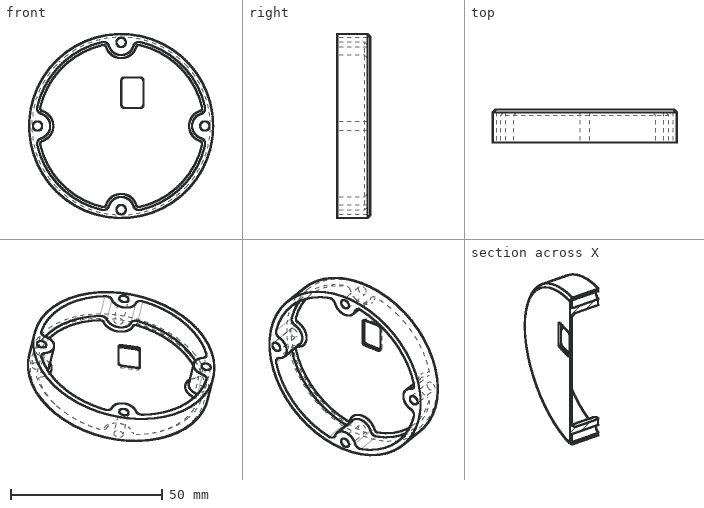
import cadquery as cq

outer_radius = 30.405
height = 11.0
back_chamfer = 1.0

wall = 2.0
floor_thickness = 1.0
cavity_radius = outer_radius - wall
cavity_depth = height - floor_thickness
floor_chamfer = 1.0

boss_count = 4
boss_radius = 4.2
boss_circle_radius = 27.6
boss_blend_radius = 2.0
screw_hole_diameter = 3.1
screw_hole_depth = cavity_depth

window_width = 7.2
window_height = 10.0
window_left = 0.1
window_bottom = 6.0
window_corner_radius = 1.0


def front_plane():
    """Workplane on the open face whose normal points into the part (+Y)."""
    return cq.Workplane(cq.Plane(origin=(0, 0, 0), xDir=(1, 0, 0), normal=(0, 1, 0)))


def boss_pattern():
    """Front plane with one point at each boss axis."""
    return front_plane().polarArray(boss_circle_radius, 0, 360, boss_count)


def make_body():
    body = front_plane().circle(outer_radius).extrude(height)
    return body.faces(">Y").chamfer(back_chamfer)


def make_cavity():
    """Space inside the wall, notched by the bosses and narrowing at the floor."""
    bosses = boss_pattern().circle(boss_radius).extrude(cavity_depth)
    cavity = front_plane().circle(cavity_radius).extrude(cavity_depth).cut(bosses)
    cavity = cavity.edges("|Y").fillet(boss_blend_radius)
    return cavity.faces(">Y").chamfer(floor_chamfer)


def make_screw_holes():
    return boss_pattern().circle(screw_hole_diameter / 2).extrude(screw_hole_depth)


def make_window():
    window = cq.Workplane("XY").box(window_width, height, window_height, centered=False)
    window = window.edges("|Y").fillet(window_corner_radius)
    return window.translate((window_left, 0, window_bottom))


result = make_body().cut(make_cavity()).cut(make_screw_holes()).cut(make_window())